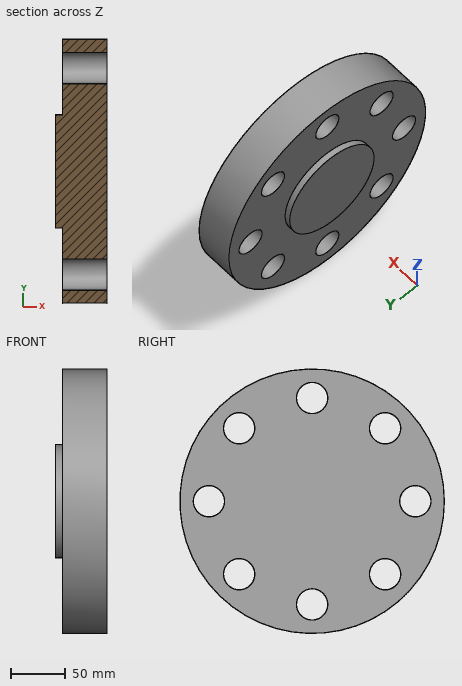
import cadquery as cq

total_thickness = 47.7
raised_face_height = 6.4
disc_thickness = total_thickness - raised_face_height
disc_diameter = 244.5
raised_face_diameter = 104.9
bolt_circle_diameter = 190.7
bolt_hole_diameter = 28.5
bolt_hole_count = 8

raised_face = cq.Workplane("YZ").circle(raised_face_diameter / 2).extrude(raised_face_height)

disc = (
    cq.Workplane("YZ", origin=(raised_face_height, 0, 0))
    .circle(disc_diameter / 2)
    .extrude(disc_thickness)
)

bolt_holes = (
    cq.Workplane("YZ")
    .polarArray(bolt_circle_diameter / 2, 0, 360, bolt_hole_count)
    .circle(bolt_hole_diameter / 2)
    .extrude(total_thickness)
)

result = disc.union(raised_face).cut(bolt_holes)